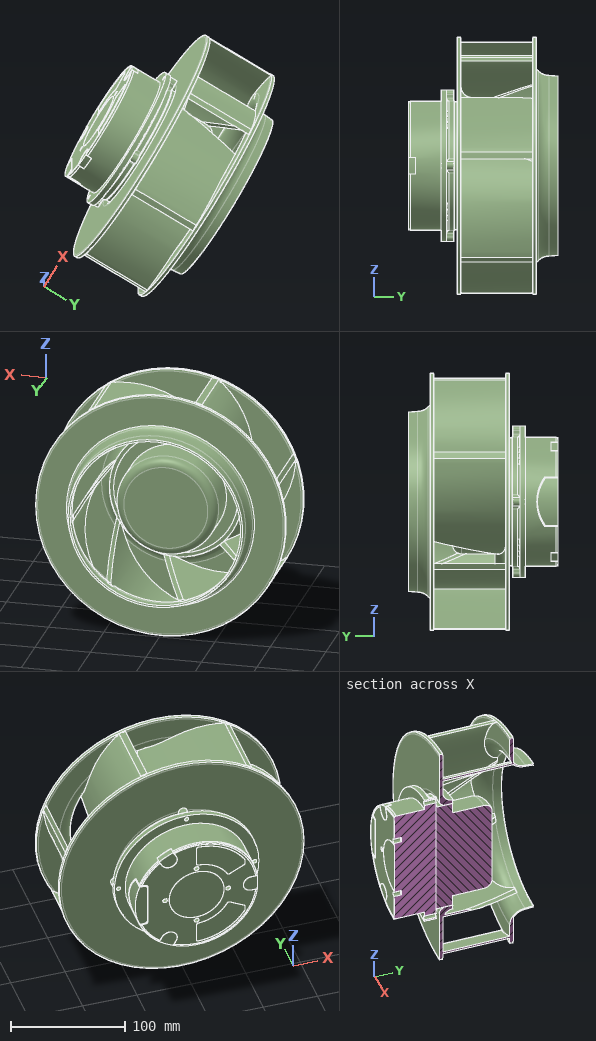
import cadquery as cq
import math


stator_radius = 56.5
flange_radius = 66.5
flange_start = 28.5
flange_end = 33.5
spigot_radius = 57.0
spigot_end = 39.9
spigot_fillet = 1.8

boss_count = 4
boss_circle = 62.5
boss_radius = flange_radius - boss_circle
boss_fillet = 2.7
boss_root = 45.0
boss_hole_radius = 1.8

hub_hole_circle = 29.0
hub_hole_radius = 2.0
hub_hole_depth = 6.8
hub_disc_radius = 25.2

label_inner_radius = 32.7
label_outer_radius = 52.7
label_end_angle = 27.5
label_width = 44.5
label_fillet = 1.5

rim_inner_radius = 55.0
rim_height = 2.0
pad_count = 3
pad_radius = 7.5
pad_centre = 50.5
pad_height = 6.0

plug_inner_x = -44.5
plug_half_width = 21.6
plug_shoulder = 11.7
plug_crown = 18.7
plug_gap = 0.7
plug_corner = 2.7

shallow = 0.11
deep_mark = 0.2

rotor_radius = 56.0
rotor_rim_radius = 56.8
rotor_rim_height = 0.7
rotor_core_radius = 45.7
rotor_end = 92.3
rotor_fillet = 7.9

wheel_radius = 112.5
plate_thickness = 3.8
hub_plate_start = 42.3
hub_plate_end = hub_plate_start + plate_thickness
shroud_start = 108.5
shroud_end = shroud_start + plate_thickness
rim_chamfer_radial = 1.8
rim_chamfer_axial = 0.5

inlet_end = 131.0
inlet_mouth_radius = 78.5
inlet_throat_radius = 79.3
inlet_throat = 123.0
inlet_flare = inlet_throat - shroud_start
inlet_wall = 1.8
flare_centre_radius = inlet_throat_radius - inlet_wall + inlet_flare
flare_sweep = 47

collar_inner_bend = 5.5
collar_outer_bend = collar_inner_bend + plate_thickness
collar_foot_radius = rotor_radius + collar_outer_bend + plate_thickness
collar_end = hub_plate_end + collar_outer_bend

blade_count = 7
first_blade_angle = 4.7
blade_thickness = 2.3
blade_arc_radius = 91.0
blade_arc_x = 28.4
blade_arc_z = -34.7
blade_arc_start = 10
blade_arc_end = 115
blade_lead_hub_radius = 59.0
blade_lead_shroud_radius = 72.7


def polar(radius, angle):
    """Point at a radius and an angle in degrees."""
    return radius * math.cos(math.radians(angle)), radius * math.sin(math.radians(angle))


def spin(body, angle):
    """Turn a body about the fan axis, from +X towards +Z."""
    return body.rotate((0, 0, 0), (0, 1, 0), -angle)


def plane_at(y):
    """Workplane across the axis at height y, with local axes X and Z; extrude by a negative length for +Y."""
    return cq.Workplane("XZ", origin=(0, y, 0))


def disc(radius, start, end):
    return plane_at(start).circle(radius).extrude(start - end)


def turned(profile):
    """Close a (radius, y) profile and turn it about the fan axis."""
    return profile.close().revolve(360, (0, 0, 0), (0, 1, 0))


def stator_blank():
    body = disc(stator_radius, 0, flange_end)
    body = body.union(disc(flange_radius, flange_start, flange_end))
    spigot = turned(
        cq.Workplane("XY")
        .moveTo(0, flange_end)
        .lineTo(spigot_radius + spigot_fillet, flange_end)
        .radiusArc((spigot_radius, flange_end + spigot_fillet), spigot_fillet)
        .lineTo(spigot_radius, spigot_end)
        .lineTo(0, spigot_end)
    )
    return body.union(spigot)


def flange_boss():
    """Round-ended lug that blends into the spigot with concave fillets."""
    height = spigot_end - flange_end
    lug = plane_at(flange_end).center(boss_circle, 0).circle(boss_radius).extrude(-height)
    web_length = boss_circle - boss_root
    web = (
        plane_at(flange_end).center(boss_circle - web_length / 2, 0)
        .rect(web_length, 2 * boss_radius).extrude(-height)
    )
    blend_z = boss_radius + boss_fillet
    blend_x = math.sqrt((spigot_radius + boss_fillet) ** 2 - blend_z ** 2)
    wedge_x = blend_x * spigot_radius / (spigot_radius + boss_fillet)
    wedge_z = blend_z * spigot_radius / (spigot_radius + boss_fillet)
    wedge = (
        plane_at(flange_end)
        .polyline([(boss_root, -boss_radius), (wedge_x, -wedge_z), (blend_x, -boss_radius),
                   (blend_x, boss_radius), (wedge_x, wedge_z), (boss_root, boss_radius)])
        .close().extrude(-height)
    )
    for side in (-1, 1):
        wedge = wedge.cut(
            plane_at(flange_end).center(blend_x, side * blend_z).circle(boss_fillet).extrude(-height)
        )
    return lug.union(web).union(wedge)


def skin(depth):
    """Outer layer of the stator's end face and side, down to the flange."""
    return disc(stator_radius, 0, flange_start).cut(disc(stator_radius - depth, depth, flange_start))


def label_recess(side):
    """Recessed sector of the end face, on the +Z side (1) or the -Z side (-1)."""
    mid_angle = (90 + label_end_angle) / 2
    outer_corner_angle = math.degrees(math.acos(label_width / label_outer_radius))
    outer_corner = polar(label_outer_radius, outer_corner_angle)
    outer_mid = polar(label_outer_radius, (90 + outer_corner_angle) / 2)
    inner_mid = polar(label_inner_radius, mid_angle)
    inner_end = polar(label_inner_radius, label_end_angle)
    straight_z = label_width * math.tan(math.radians(label_end_angle))
    return (
        plane_at(0)
        .moveTo(0, side * label_inner_radius)
        .lineTo(0, side * label_outer_radius)
        .threePointArc((outer_mid[0], side * outer_mid[1]), (label_width, side * outer_corner[1]))
        .lineTo(label_width, side * straight_z)
        .lineTo(inner_end[0], side * inner_end[1])
        .threePointArc((inner_mid[0], side * inner_mid[1]), (0, side * label_inner_radius))
        .close().extrude(-shallow)
        .edges("|Y").edges("<X or (not >X)").fillet(label_fillet)
    )


def pad(angle):
    """U-shaped prism that opens through the stator's side."""
    length = stator_radius - pad_centre
    body = plane_at(0).center(pad_centre, 0).circle(pad_radius).extrude(-pad_height)
    arm = (
        plane_at(0).center(pad_centre + length / 2, 0)
        .rect(length, 2 * pad_radius).extrude(-pad_height)
    )
    return spin(body.union(arm), angle)


def plug(inset):
    """Cable plug in the stator's -X side, shrunk by an inset; domed towards the flange."""
    half_width = plug_half_width - inset
    length = stator_radius + plug_inner_x - inset
    return (
        cq.Workplane("YZ", origin=(plug_inner_x - inset, 0, 0))
        .moveTo(0, -half_width)
        .lineTo(plug_shoulder - inset, -half_width)
        .threePointArc((plug_crown - inset, 0), (plug_shoulder - inset, half_width))
        .lineTo(0, half_width)
        .close().extrude(-length)
        .edges("|Y and >X").fillet(plug_corner)
    )


def make_stator():
    body = stator_blank()
    for i in range(boss_count):
        body = body.union(spin(flange_boss(), i * 360 / boss_count))

    for i in range(boss_count):
        angle = i * 360 / boss_count
        boss_hole = plane_at(flange_start).center(boss_circle, 0).circle(boss_hole_radius)
        body = body.cut(spin(boss_hole.extrude(flange_start - spigot_end), angle))
        hub_hole = plane_at(0).center(hub_hole_circle, 0).circle(hub_hole_radius)
        body = body.cut(spin(hub_hole.extrude(-hub_hole_depth), angle))

    body = body.cut(disc(hub_disc_radius, 0, shallow))
    for side in (-1, 1):
        body = body.cut(label_recess(side))

    rim = disc(stator_radius, 0, rim_height).cut(disc(rim_inner_radius, 0, rim_height))
    body = body.cut(rim.intersect(skin(shallow)).cut(plug(0)))
    for i in range(pad_count):
        body = body.cut(pad(i * 360 / pad_count).intersect(skin(deep_mark)))
    return body.cut(plug(0).cut(plug(plug_gap)).intersect(skin(deep_mark)))


def make_rotor():
    rim = disc(rotor_rim_radius, spigot_end, spigot_end + rotor_rim_height)
    drum = disc(rotor_radius, spigot_end, collar_end)
    core = disc(rotor_core_radius, spigot_end, rotor_end).faces(">Y").edges().fillet(rotor_fillet)
    return rim.union(drum).union(core)


def rim_plate(inner_radius, start):
    """Flat annular plate with small chamfers round its rim."""
    end = start + plate_thickness
    face_radius = wheel_radius - rim_chamfer_radial
    return turned(
        cq.Workplane("XY")
        .moveTo(inner_radius, start)
        .lineTo(face_radius, start)
        .lineTo(wheel_radius, start + rim_chamfer_axial)
        .lineTo(wheel_radius, end - rim_chamfer_axial)
        .lineTo(face_radius, end)
        .lineTo(inner_radius, end)
    )


def flare_point(radius, angle):
    """Point on an arc about the centre of the inlet flare, angle in degrees below the throat."""
    across, down = polar(radius, angle)
    return flare_centre_radius - across, inlet_throat - down


def inlet_ring():
    """Thin inlet nozzle that flares out into the shroud plate."""
    outer_arc = inlet_flare - inlet_wall
    arc_end_radius, arc_end_y = flare_point(outer_arc, flare_sweep)
    cone_radius = arc_end_radius + (arc_end_y - shroud_end) * math.tan(math.radians(flare_sweep))
    return turned(
        cq.Workplane("XY")
        .moveTo(inlet_mouth_radius - inlet_wall, inlet_end)
        .lineTo(inlet_mouth_radius, inlet_end)
        .lineTo(*flare_point(outer_arc, 0))
        .threePointArc(flare_point(outer_arc, flare_sweep / 2), flare_point(outer_arc, flare_sweep))
        .lineTo(cone_radius, shroud_end)
        .lineTo(flare_centre_radius, shroud_end)
        .lineTo(*flare_point(inlet_flare, 90))
        .threePointArc(flare_point(inlet_flare, 45), flare_point(inlet_flare, 0))
    )


def hub_collar():
    """Collar that fits round the rotor, drawn out of the hub plate with concentric bends."""
    entry_radius = rotor_radius + collar_inner_bend
    return turned(
        cq.Workplane("XY")
        .moveTo(entry_radius, hub_plate_start)
        .lineTo(collar_foot_radius, hub_plate_start)
        .lineTo(collar_foot_radius, hub_plate_end)
        .radiusArc((rotor_radius + plate_thickness, collar_end), collar_outer_bend)
        .lineTo(rotor_radius, collar_end)
        .lineTo(rotor_radius, hub_plate_start + collar_inner_bend)
        .radiusArc((entry_radius, hub_plate_start), -collar_inner_bend)
    )


def blade_channel():
    """Space swept by the blades: slanted leading edge, hub plate, rim and shroud with its flare."""
    lead_slope = (blade_lead_shroud_radius - blade_lead_hub_radius) / (shroud_start - hub_plate_end)
    lead_top_radius = blade_lead_hub_radius + lead_slope * (inlet_throat - hub_plate_end)
    return turned(
        cq.Workplane("XY")
        .moveTo(blade_lead_hub_radius, hub_plate_end)
        .lineTo(wheel_radius, hub_plate_end)
        .lineTo(wheel_radius, shroud_start)
        .lineTo(*flare_point(inlet_flare, 90))
        .threePointArc(flare_point(inlet_flare, 45), flare_point(inlet_flare, 0))
        .lineTo(lead_top_radius, inlet_throat)
    )


def blade_point(offset, angle):
    across, along = polar(blade_arc_radius + offset, angle)
    return blade_arc_x + across, blade_arc_z + along


def blade(channel, angle):
    """Curved sheet along an arc that starts at the rim, trimmed to the blade channel."""
    half = blade_thickness / 2
    mid_angle = (blade_arc_start + blade_arc_end) / 2
    sheet = (
        plane_at(hub_plate_end)
        .moveTo(*blade_point(half, blade_arc_start))
        .threePointArc(blade_point(half, mid_angle), blade_point(half, blade_arc_end))
        .lineTo(*blade_point(-half, blade_arc_end))
        .threePointArc(blade_point(-half, mid_angle), blade_point(-half, blade_arc_start))
        .close().extrude(hub_plate_end - inlet_throat)
    )
    return spin(sheet.intersect(channel), angle)


def make_impeller():
    body = rim_plate(collar_foot_radius, hub_plate_start).union(hub_collar())
    channel = blade_channel()
    for i in range(blade_count):
        body = body.union(blade(channel, first_blade_angle + i * 360 / blade_count))
    body = body.union(rim_plate(flare_centre_radius, shroud_start))
    return body.union(inlet_ring())


stator = make_stator()
rotor = make_rotor()
impeller = make_impeller()

result = cq.Compound.makeCompound([stator.val(), rotor.val(), impeller.val()])